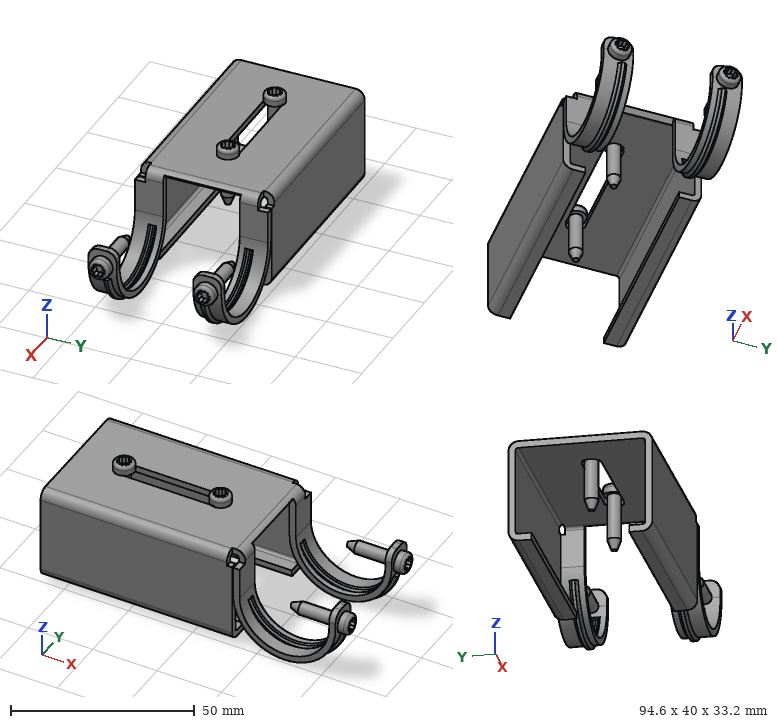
import cadquery as cq
import math


sheet = 2.0
bend_outer = 2.8
bend_inner = bend_outer - sheet
plate_edge_angle = 45

width = 40.0
half_width = width / 2
channel_height = 29.1
wall_length = 59.6
lip_reach = 6.4

wall_gap = 0.4
hook_width = 8.5
hook_drop = 13.6
tab_height = 5.0
tab_corner = 3.0
hook_inner_radius = 13.9
hook_outer_radius = hook_inner_radius + sheet
hook_back = wall_length + wall_gap
hook_front = hook_back + sheet
hook_center_x = hook_front + hook_inner_radius
hook_center_y = half_width - hook_width / 2
tab_inner_x = hook_center_x + hook_inner_radius
tab_outer_x = tab_inner_x + sheet
bend_start = hook_front - bend_outer

notch_size = 4.0
notch_depth_y = 3.1
notch_y = half_width - notch_depth_y

bead_shift = 1.2
bead_center_y = hook_center_y - bead_shift
bead_start_angle = 14
bead_sweep = 180 - 2 * bead_start_angle
bead_tip_radius = 16.8
bead_base_half = 1.2
bead_neck_half = 0.8
bead_tip_half = 0.5
bead_neck_radius = 16.4
groove_mouth_half = 1.2
groove_neck_half = 0.8
groove_floor_half = 0.3
groove_neck_radius = 14.3
groove_floor_radius = 15.0

shank_radius = 3.9 / 2
head_radius = 3.1
head_height = 2.8
head_fillet = 1.0
shank_length = 15.9
tip_length = 2.9
tip_radius = 1.6 / 2
socket_depth = 2.2
socket_radius = 2.0
socket_lobes = 6
lobe_radius = 0.6
lobe_center_radius = 2.2

slot_width = 5.5
slot_screw_x = 14.9
slot_screw_pitch = 30.0
slot_center_x = slot_screw_x + slot_screw_pitch / 2


def box(x_range, y_range, z_range):
    """Axis-aligned box between the given limits."""
    return (
        cq.Workplane("XY")
        .box(
            x_range[1] - x_range[0],
            y_range[1] - y_range[0],
            z_range[1] - z_range[0],
            centered=False,
        )
        .translate((x_range[0], y_range[0], z_range[0]))
    )


def make_channel():
    """C-shaped channel whose plate stops where the hook bends begin."""
    outer = (
        cq.Workplane("YZ")
        .rect(width, channel_height)
        .extrude(wall_length)
        .edges("|X")
        .fillet(bend_outer)
    )
    inner = (
        cq.Workplane("YZ")
        .rect(width - 2 * sheet, channel_height - 2 * sheet)
        .extrude(wall_length)
        .edges("|X")
        .fillet(bend_inner)
    )
    channel = outer.cut(inner).translate((0, 0, -channel_height / 2))
    opening_half = half_width - lip_reach
    opening = box(
        (0, wall_length),
        (-opening_half, opening_half),
        (-channel_height, -channel_height / 2),
    )
    plate_trim = box((bend_start, wall_length), (-half_width, half_width), (-notch_size, 0))
    slot = (
        cq.Workplane("XY")
        .center(slot_center_x, 0)
        .slot2D(slot_screw_pitch + slot_width, slot_width)
        .extrude(-sheet)
    )
    return channel.cut(opening).cut(plate_trim).cut(slot)


def bend_point(radius, angle):
    """Point on the hook bend, at an angle measured from the vertical."""
    return (
        bend_start + radius * math.sin(math.radians(angle)),
        -bend_outer + radius * math.cos(math.radians(angle)),
    )


def make_plate_edge():
    """Half of the bend left along the plate between the two hooks, cut off radially."""
    return (
        cq.Workplane("XZ")
        .moveTo(*bend_point(bend_outer, 0))
        .threePointArc(
            bend_point(bend_outer, plate_edge_angle / 2),
            bend_point(bend_outer, plate_edge_angle),
        )
        .lineTo(*bend_point(bend_inner, plate_edge_angle))
        .threePointArc(bend_point(bend_inner, plate_edge_angle / 2), bend_point(bend_inner, 0))
        .close()
        .extrude(notch_y, both=True)
    )


def make_hook_strip():
    """Bent strip of the hook: bend, straight leg, half ring and end tab, centred on Y = 0."""
    tab_top = tab_height - hook_drop
    strip = (
        cq.Workplane("XZ")
        .moveTo(*bend_point(bend_outer, 0))
        .threePointArc(bend_point(bend_outer, 45), bend_point(bend_outer, 90))
        .lineTo(hook_front, -hook_drop)
        .threePointArc(
            (hook_center_x, -hook_drop - hook_inner_radius),
            (tab_inner_x, -hook_drop),
        )
        .lineTo(tab_inner_x, tab_top)
        .lineTo(tab_outer_x, tab_top)
        .lineTo(tab_outer_x, -hook_drop)
        .threePointArc(
            (hook_center_x, -hook_drop - hook_outer_radius),
            (hook_back, -hook_drop),
        )
        .lineTo(*bend_point(bend_inner, 90))
        .threePointArc(bend_point(bend_inner, 45), bend_point(bend_inner, 0))
        .close()
        .extrude(hook_width / 2, both=True)
    )
    tab_corners = cq.selectors.BoxSelector(
        (tab_inner_x - sheet, -hook_width, tab_top - sheet),
        (tab_outer_x + sheet, hook_width, tab_top + sheet),
    )
    return strip.edges("|X").edges(tab_corners).fillet(tab_corner)


def sweep_around_hook(profile, center_y):
    """Revolve a (radius, Y) profile around the hook ring, over the length of the bead."""
    return (
        profile.revolve(bead_sweep, (0, 0, 0), (0, 1, 0))
        .rotate((0, 0, 0), (0, 1, 0), bead_start_angle)
        .translate((hook_center_x, center_y, -hook_drop))
    )


def make_bead(center_y):
    """Raised outer side of the bead."""
    root_radius = hook_outer_radius - sheet / 4
    profile = (
        cq.Workplane("XY")
        .moveTo(root_radius, -bead_base_half)
        .lineTo(hook_outer_radius, -bead_base_half)
        .lineTo(bead_neck_radius, -bead_neck_half)
        .lineTo(bead_tip_radius, -bead_tip_half)
        .lineTo(bead_tip_radius, bead_tip_half)
        .lineTo(bead_neck_radius, bead_neck_half)
        .lineTo(hook_outer_radius, bead_base_half)
        .lineTo(root_radius, bead_base_half)
        .close()
    )
    return sweep_around_hook(profile, center_y)


def make_groove(center_y):
    """Hollow inner side of the bead."""
    mouth_radius = hook_inner_radius - sheet / 4
    profile = (
        cq.Workplane("XY")
        .moveTo(mouth_radius, -groove_mouth_half)
        .lineTo(hook_inner_radius, -groove_mouth_half)
        .lineTo(groove_neck_radius, -groove_neck_half)
        .lineTo(groove_floor_radius, -groove_floor_half)
        .lineTo(groove_floor_radius, groove_floor_half)
        .lineTo(groove_neck_radius, groove_neck_half)
        .lineTo(hook_inner_radius, groove_mouth_half)
        .lineTo(mouth_radius, groove_mouth_half)
        .close()
    )
    return sweep_around_hook(profile, center_y)


def make_hook(side):
    """Complete hook on one side (+1 or -1) of the channel, with its bead and screw hole."""
    strip = make_hook_strip().translate((0, side * hook_center_y, 0))
    screw_hole = (
        cq.Workplane("YZ", origin=(tab_inner_x - sheet, side * hook_center_y, -hook_drop))
        .circle(shank_radius)
        .extrude(3 * sheet)
    )
    bead_y = side * bead_center_y
    return strip.union(make_bead(bead_y)).cut(make_groove(bead_y)).cut(screw_hole)


def make_notch(side):
    """Relief that frees the outer end of a hook bend from the channel corner."""
    y_limits = sorted((side * notch_y, side * half_width))
    return box((hook_front - notch_size, hook_front), y_limits, (-notch_size, 0))


def make_bracket():
    """Channel and hooks, folded from one sheet."""
    bracket = make_channel().union(make_plate_edge())
    for side in (-1, 1):
        bracket = bracket.union(make_hook(side)).cut(make_notch(side))
    return bracket


def make_screw():
    """Screw pointing down, with the underside of its head at the origin."""
    shank = (
        cq.Workplane("XZ")
        .lineTo(shank_radius, 0)
        .lineTo(shank_radius, tip_length - shank_length)
        .lineTo(tip_radius, -shank_length)
        .lineTo(0, -shank_length)
        .close()
        .revolve(360, (0, 0, 0), (0, 1, 0))
    )
    head = (
        cq.Workplane("XY")
        .circle(head_radius)
        .extrude(head_height)
        .faces(">Z")
        .edges()
        .fillet(head_fillet)
    )
    socket = cq.Workplane("XY").circle(socket_radius).extrude(socket_depth)
    lobes = (
        cq.Workplane("XY")
        .polarArray(lobe_center_radius, 0, 360, socket_lobes)
        .circle(lobe_radius)
        .extrude(socket_depth)
    )
    socket = socket.cut(lobes).translate((0, 0, head_height - socket_depth))
    return shank.union(head).cut(socket)


bracket = make_bracket()

screws = []
for x in (slot_screw_x, slot_screw_x + slot_screw_pitch):
    screws.append(make_screw().translate((x, 0, 0)))
for side in (-1, 1):
    tab_screw = make_screw().rotate((0, 0, 0), (0, 1, 0), 90)
    screws.append(tab_screw.translate((tab_outer_x, side * hook_center_y, -hook_drop)))

result = cq.Compound.makeCompound([bracket.val(), *[screw.val() for screw in screws]])